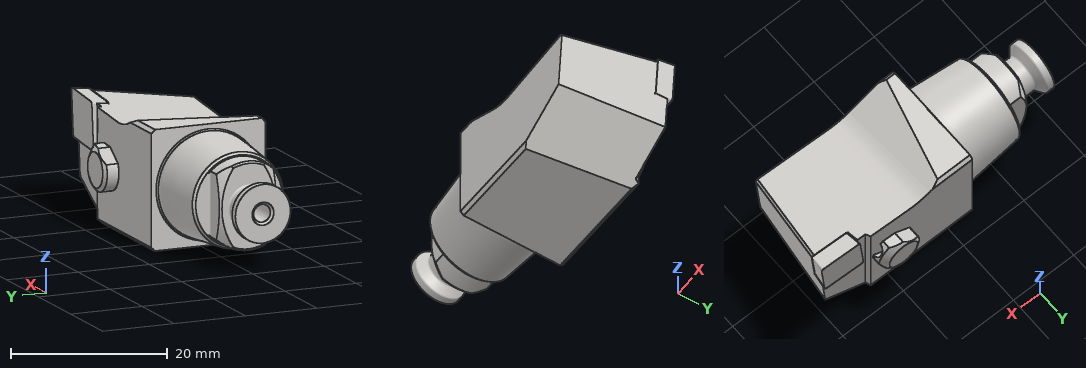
import cadquery as cq
import math


BODY_SIZE = 16.0
HALF = BODY_SIZE / 2
BODY_CHAMFER = 0.5
REACH = 25.0

EDGE_ANGLE = 5.0
NOSE_ANGLE = 90 - 2 * EDGE_ANGLE
RELIEF_ANGLE = 7.0
INSERT_CIRCLE = 6.35
INSERT_THICKNESS = 2.4
POCKET_PLAY = 0.15
NOSE_RADIUS = 0.4
INSERT_OVERHANG = 0.105

RAMP_START = 5.5
RAMP_ANGLE = 24.3
CHIP_RADIUS = 7.15
UNDERCUT_ANGLE = 30.0
UNDERCUT_START = 16.1
NOSE_BEVEL = 0.35
STEP_START = 16.9
STEP_DEPTH = 0.67
STEP_SLOPE = 0.3

STUD_LENGTH = 17.0
HEAD_RADIUS = 3.85
HEAD_LENGTH = 2.1
HEAD_RIM = 1.1
NECK_RADIUS = 2.65
STUD_FILLET = 0.25
COLLAR_START = -12.5
COLLAR_RADIUS = 5.9
COLLAR_CHAMFER = 0.25
TAPER_START = -9.5
TAPER_FACE_RADIUS = 6.05
TAPER_CHAMFER = 0.35
TAPER_SMALL_RADIUS = 6.4
TAPER_END = -1.0
TAPER_LARGE_RADIUS = 7.15
ROOT_FLARE = 0.2

FLAT_DISTANCE = 4.0
FLAT_ROOT_RADIUS = 0.25
LEAD_RADIUS = 9.3
LEAD_OFFSET = 5.55

BORE_RADIUS = 1.18
BORE_MOUTH_RADIUS = 1.5
BORE_END = 6.3
FEED_START_X = 5.63
FEED_START_Y = -0.35
FEED_RADIUS = 0.95

NOZZLE_X = 13.05
NOZZLE_Z = 0.0
NOZZLE_HEIGHT = 2.0
NOZZLE_RADIUS = 2.9
NOZZLE_FLAT = 2.48
NOZZLE_FLAT_END = 1.43
NOZZLE_TIP_RADIUS = 3.5
NOZZLE_TIP_HALF_WIDTH = 1.5
NOZZLE_TOP_RADIUS = 2.35
NOZZLE_TIP_DROP = 0.8
OUTLET_RADIUS = 1.0

CLEAR = 4.2
EDGE_COS = math.cos(math.radians(EDGE_ANGLE))
EDGE_SIN = math.sin(math.radians(EDGE_ANGLE))
EDGE_TAN = EDGE_SIN / EDGE_COS
RELIEF_TAN = math.tan(math.radians(RELIEF_ANGLE))

NOSE_OFFSET = NOSE_RADIUS * (
    math.cos(math.radians(45)) / math.sin(math.radians(NOSE_ANGLE / 2)) - 1
)
TIP_X = REACH + NOSE_OFFSET
TIP_Z = HALF + NOSE_OFFSET


def side_plane():
    """Plane on the +Y side face; local x is X, local y is Z, its normal points to -Y."""
    return cq.Workplane("XZ", origin=(0, HALF, 0))


def slanted_prism(outline, slant_x, slant_z):
    """Extrude an outline from the +Y face through the body, drifting in X and Z."""
    face = cq.Face.makeFromWires(outline.val())
    travel = cq.Vector(slant_x * BODY_SIZE, -BODY_SIZE, slant_z * BODY_SIZE)
    return cq.Workplane(cq.Solid.extrudeLinear(face, travel))


def rhombus(inscribed_circle):
    """Rhombic sketch with its sharp cutting corner at (TIP_X, TIP_Z)."""
    side = inscribed_circle / math.sin(math.radians(NOSE_ANGLE))
    along = side * EDGE_COS
    across = side * EDGE_SIN
    corners = [
        (TIP_X, TIP_Z),
        (TIP_X - along, TIP_Z - across),
        (TIP_X - along - across, TIP_Z - across - along),
        (TIP_X - across, TIP_Z - along),
    ]
    return cq.Sketch().polygon(corners + corners[:1])


def tapered_plate(sketch):
    """Plate that narrows by the relief angle away from the +Y face."""
    return side_plane().placeSketch(sketch).extrude(INSERT_THICKNESS, taper=RELIEF_ANGLE)


def make_insert():
    return tapered_plate(rhombus(INSERT_CIRCLE).vertices().fillet(NOSE_RADIUS))


def insert_pocket():
    """Pocket that shares the cutting corner with the insert, sharp where the insert is rounded."""
    return tapered_plate(rhombus(INSERT_CIRCLE + POCKET_PLAY))


def front_prism():
    """Body outline with the relieved front end and the undercut below it."""
    end_x = TIP_X - INSERT_OVERHANG
    undercut_tan = math.tan(math.radians(UNDERCUT_ANGLE))
    corner_z = (
        (end_x - TIP_Z * EDGE_TAN - UNDERCUT_START) * undercut_tan - HALF
    ) / (1 - EDGE_TAN * undercut_tan)
    corner_x = end_x - (TIP_Z - corner_z) * EDGE_TAN
    top = HALF + CLEAR
    back = -CLEAR
    bottom_x = UNDERCUT_START - CLEAR / undercut_tan
    outline = side_plane().polyline([
        (back, top),
        (end_x + (top - TIP_Z) * EDGE_TAN, top),
        (corner_x, corner_z),
        (bottom_x, -HALF - CLEAR),
        (back, -HALF - CLEAR),
    ]).close()
    return slanted_prism(outline, -RELIEF_TAN * EDGE_COS, RELIEF_TAN * EDGE_SIN)


def chip_space():
    """Everything above the ramp, the rounded bend and the rising chip floor."""
    ramp = math.radians(RAMP_ANGLE)
    rise = math.radians(EDGE_ANGLE)
    floor_z0 = TIP_Z - INSERT_OVERHANG - TIP_X * EDGE_TAN
    bend_x = (HALF + RAMP_START * math.tan(ramp) - floor_z0) / (math.tan(ramp) + EDGE_TAN)
    bend_z = floor_z0 + bend_x * EDGE_TAN
    tangent = CHIP_RADIUS * math.tan((ramp + rise) / 2)
    end_x = REACH + CLEAR
    top = HALF + CLEAR
    outline = (
        side_plane()
        .moveTo(RAMP_START - CLEAR / math.tan(ramp), top)
        .lineTo(bend_x - tangent * math.cos(ramp), bend_z + tangent * math.sin(ramp))
        .tangentArcPoint(
            (bend_x + tangent * math.cos(rise), bend_z + tangent * math.sin(rise)),
            relative=False,
        )
        .lineTo(end_x, floor_z0 + end_x * EDGE_TAN)
        .lineTo(end_x, top)
        .close()
    )
    return slanted_prism(outline, RELIEF_TAN * EDGE_SIN, -RELIEF_TAN * EDGE_COS)


def face_step():
    """Setback of the +Y face around the insert, so that the insert stands proud of it."""
    front = REACH + CLEAR
    return (
        cq.Workplane("XY", origin=(0, 0, -HALF))
        .polyline([
            (STEP_START, HALF),
            (STEP_START + STEP_SLOPE, HALF - STEP_DEPTH),
            (front, HALF - STEP_DEPTH),
            (front, HALF),
        ])
        .close()
        .extrude(BODY_SIZE)
    )


def make_body():
    """Square bar with chip space, relieved front end, insert pocket and face step."""
    body = (
        cq.Workplane("YZ")
        .rect(BODY_SIZE, BODY_SIZE)
        .extrude(REACH + CLEAR)
        .edges("|X")
        .chamfer(BODY_CHAMFER)
    )
    body = body.intersect(front_prism()).cut(chip_space())
    nose_middle = (REACH - HALF * RELIEF_TAN, 0, HALF - HALF * RELIEF_TAN)
    body = body.edges(cq.selectors.NearestToPointSelector(nose_middle)).chamfer(NOSE_BEVEL)
    return body.cut(insert_pocket()).cut(face_step())


def revolve_about_x(points):
    """Turn an outline of (X, radius) points about the X axis."""
    return (
        cq.Workplane("XZ").polyline(points).close()
        .revolve(360, (0, 0, 0), (1, 0, 0))
    )


def pull_stud():
    """Headed end of the shank; its circular edges are picked by their centres on the axis."""
    front = -STUD_LENGTH
    cone_end = front + HEAD_LENGTH
    rim = front + HEAD_RIM
    stud = revolve_about_x([
        (front, 0),
        (front, HEAD_RADIUS),
        (rim, HEAD_RADIUS),
        (cone_end, NECK_RADIUS),
        (COLLAR_START, NECK_RADIUS),
        (COLLAR_START, 0),
    ])
    rim_edge = cq.selectors.NearestToPointSelector((rim, 0, 0))
    cone_edge = cq.selectors.NearestToPointSelector((cone_end, 0, 0))
    return stud.edges(rim_edge).fillet(STUD_FILLET).edges(cone_edge).fillet(STUD_FILLET)


def lead_in(side):
    """Eccentric 45 degree cone that the collar must stay inside."""
    length = TAPER_START - COLLAR_START
    return (
        cq.Workplane("YZ", origin=(COLLAR_START, -side * LEAD_OFFSET, 0))
        .circle(LEAD_RADIUS)
        .extrude(length, taper=-45)
    )


def flat_cutter(side):
    length = TAPER_START - COLLAR_START
    return (
        cq.Workplane("XY")
        .box(length, COLLAR_RADIUS, 2 * COLLAR_RADIUS)
        .edges("|Z and >X")
        .edges("<Y" if side > 0 else ">Y")
        .fillet(FLAT_ROOT_RADIUS)
        .translate((COLLAR_START + length / 2, side * (FLAT_DISTANCE + COLLAR_RADIUS / 2), 0))
    )


def collar():
    nut = revolve_about_x([
        (COLLAR_START, 0),
        (COLLAR_START, COLLAR_RADIUS - COLLAR_CHAMFER),
        (COLLAR_START + COLLAR_CHAMFER, COLLAR_RADIUS),
        (TAPER_START, COLLAR_RADIUS),
        (TAPER_START, 0),
    ])
    for side in (-1, 1):
        nut = nut.intersect(lead_in(side)).cut(flat_cutter(side))
    return nut


def taper():
    """Conical seat with a short cylinder and a flare where it joins the stop face."""
    return revolve_about_x([
        (TAPER_START, 0),
        (TAPER_START, TAPER_FACE_RADIUS),
        (TAPER_START + TAPER_CHAMFER, TAPER_SMALL_RADIUS),
        (TAPER_END, TAPER_LARGE_RADIUS),
        (-ROOT_FLARE, TAPER_LARGE_RADIUS),
        (0, TAPER_LARGE_RADIUS + ROOT_FLARE),
        (0, 0),
    ])


def coolant_passages():
    """Axial bore from the head, then a slanting bore that comes out under the nozzle."""
    front = -STUD_LENGTH
    mouth_depth = BORE_MOUTH_RADIUS - BORE_RADIUS
    bore = revolve_about_x([
        (front, 0),
        (front, BORE_MOUTH_RADIUS),
        (front + mouth_depth, BORE_RADIUS),
        (BORE_END, BORE_RADIUS),
        (BORE_END, 0),
    ])
    feed_start = cq.Vector(FEED_START_X, FEED_START_Y, 0)
    feed = cq.Vector(NOZZLE_X, HALF, NOZZLE_Z) - feed_start
    overrun_length = feed.Length + FEED_RADIUS * feed.x / feed.y
    feed_bore = cq.Solid.makeCylinder(FEED_RADIUS, overrun_length, feed_start, feed)
    return bore.union(cq.Workplane(feed_bore))


def make_holder():
    shank = pull_stud().union(collar()).union(taper())
    neck_root = cq.selectors.NearestToPointSelector((COLLAR_START, 0, 0))
    shank = shank.edges(neck_root).fillet(STUD_FILLET)
    return make_body().union(shank).cut(coolant_passages())


def make_nozzle():
    """Built with its outlet along +X, then turned to aim at the insert nose."""
    back_x = -math.sqrt(NOZZLE_RADIUS**2 - NOZZLE_FLAT**2)
    tip_x = math.sqrt(NOZZLE_TIP_RADIUS**2 - NOZZLE_TIP_HALF_WIDTH**2)
    body = (
        cq.Workplane("XY")
        .moveTo(back_x, NOZZLE_FLAT)
        .lineTo(NOZZLE_FLAT_END, NOZZLE_FLAT)
        .lineTo(tip_x, NOZZLE_TIP_HALF_WIDTH)
        .threePointArc((NOZZLE_TIP_RADIUS, 0), (tip_x, -NOZZLE_TIP_HALF_WIDTH))
        .lineTo(NOZZLE_FLAT_END, -NOZZLE_FLAT)
        .lineTo(back_x, -NOZZLE_FLAT)
        .threePointArc((-NOZZLE_RADIUS, 0), (back_x, NOZZLE_FLAT))
        .close()
        .extrude(NOZZLE_HEIGHT)
    )
    turned_blank = (
        cq.Workplane("XZ")
        .polyline([
            (0, 0),
            (NOZZLE_TIP_RADIUS, 0),
            (NOZZLE_TIP_RADIUS, NOZZLE_HEIGHT - NOZZLE_TIP_DROP),
            (NOZZLE_TOP_RADIUS, NOZZLE_HEIGHT),
            (0, NOZZLE_HEIGHT),
        ])
        .close()
        .revolve(360, (0, 0, 0), (0, 1, 0))
    )
    outlet = cq.Workplane("YZ").circle(OUTLET_RADIUS).extrude(NOZZLE_TIP_RADIUS)
    aim = math.degrees(math.atan2(HALF - NOZZLE_Z, REACH - NOZZLE_X))
    return (
        body.intersect(turned_blank)
        .cut(outlet)
        .rotate((0, 0, 0), (0, 0, 1), -aim)
        .rotate((0, 0, 0), (1, 0, 0), -90)
        .translate((NOZZLE_X, HALF, NOZZLE_Z))
    )


holder = make_holder()
insert = make_insert()
nozzle = make_nozzle()

result = cq.Compound.makeCompound([part.solids().val() for part in (holder, insert, nozzle)])